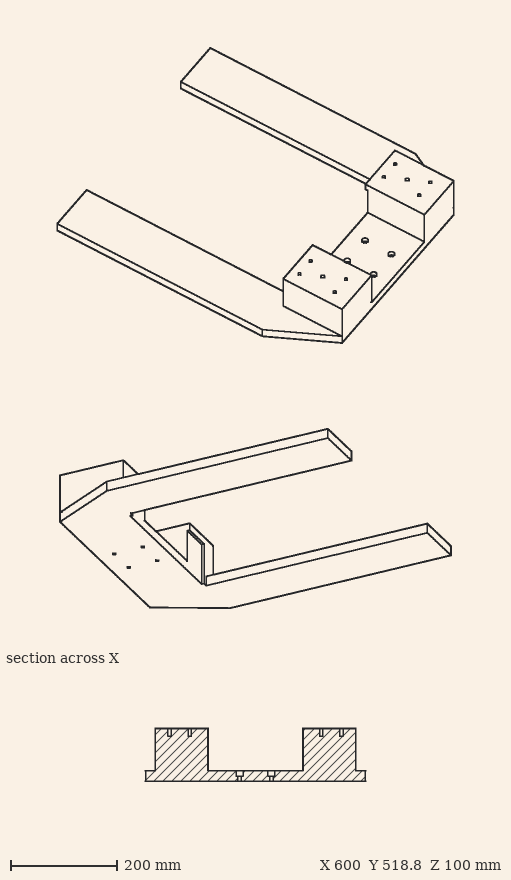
import cadquery as cq

length = 600.0
width = 518.84
height = 100.0

plate_thickness = 20.0
arm_width = 100.0

block_depth = 133.84
block_width = 100.0
block_inset = 70.0

step_depth = 5.0
step_outer_y = 150.0
step_height = 85.0

block_hole_center_x = length - 75.0
block_hole_center_y = 143.0
block_hole_pitch_x = 80.0
block_hole_pitch_y = 38.0
corner_hole_diameter = 5.5
center_hole_diameter = 7.0
block_hole_depth = 15.0

base_hole_center_x = length - 65.0
base_hole_pitch = 60.0
base_hole_diameter = 5.5
counterbore_diameter = 12.0
counterbore_depth = 10.0

half_width = width / 2
arm_inner_y = half_width - arm_width
block_outer_y = half_width - block_inset
block_inner_y = block_outer_y - block_width
block_front_x = length - block_depth
base_front_x = block_front_x + step_depth


def box(x_min, x_max, y_min, y_max, z_max):
    """Box standing on Z = 0."""
    return (
        cq.Workplane("XY")
        .box(x_max - x_min, y_max - y_min, z_max, centered=False)
        .translate((x_min, y_min, 0))
    )


def arm():
    """Flat arm on the +Y side, tapering to the block's outer rear corner."""
    outline = [
        (0, arm_inner_y),
        (length, arm_inner_y),
        (length, block_outer_y),
        (block_front_x, half_width),
        (0, half_width),
    ]
    return cq.Workplane("XY").polyline(outline).close().extrude(plate_thickness)


def block():
    """Block on the +Y side with its stepped front face and blind top holes."""
    body = box(block_front_x, length, block_inner_y, block_outer_y, height)
    body = body.cut(box(block_front_x, base_front_x, block_inner_y, step_outer_y, step_height))
    top = cq.Workplane("XY", origin=(block_hole_center_x, block_hole_center_y, height))
    corner_holes = (
        top.rarray(block_hole_pitch_x, block_hole_pitch_y, 2, 2)
        .circle(corner_hole_diameter / 2)
        .extrude(-block_hole_depth)
    )
    center_hole = top.circle(center_hole_diameter / 2).extrude(-block_hole_depth)
    return body.cut(corner_holes).cut(center_hole)


def base():
    """Base plate between the blocks with four counterbored holes."""
    plate = box(base_front_x, length, -block_inner_y, block_inner_y, plate_thickness)
    return (
        plate.faces(">Z")
        .workplane(origin=(base_hole_center_x, 0, plate_thickness))
        .rarray(base_hole_pitch, base_hole_pitch, 2, 2)
        .cboreHole(base_hole_diameter, counterbore_diameter, counterbore_depth)
    )


side = block().union(arm())
result = base().union(side).union(side.mirror("XZ"))